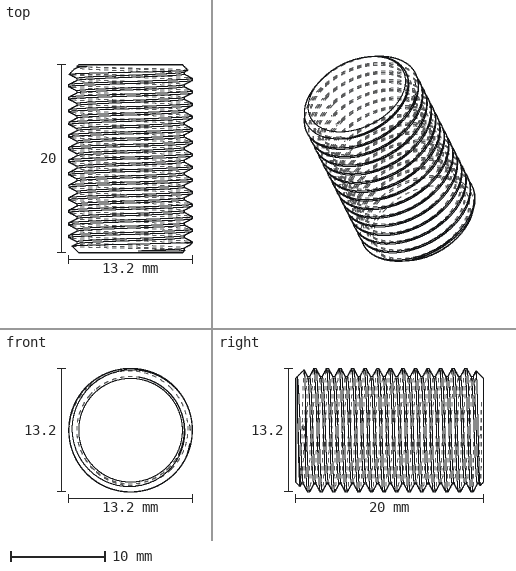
import cadquery as cq
import math

length = 20.0
major_radius = 6.58
root_radius = 5.72
end_radius = 5.52

inch = 25.4
threads_per_inch = 19
pitch = inch / threads_per_inch
flank_half_angle = math.radians(55.0 / 2)

first_crest = 1.05
cutter_overshoot = 0.08
stock_extra = 6.0

chamfer = major_radius - end_radius
flank_run = (major_radius - root_radius) * math.tan(flank_half_angle)
root_flat = (pitch - 2 * flank_run) / 2


def make_envelope():
    """Chamfered rod standing on the XY plane."""
    return cq.Workplane("XY").circle(major_radius).extrude(length).edges().chamfer(chamfer)


def make_stock():
    """Plain rod, longer than the groove at both ends so the whole groove is cut inside it."""
    return (
        cq.Workplane("XY")
        .workplane(offset=-stock_extra)
        .circle(major_radius)
        .extrude(length + 2 * stock_extra)
    )


def make_groove():
    """Helical trapezoid that runs out past both ends of the rod."""
    start = first_crest + pitch / 2 - 2 * pitch
    turns = math.ceil((length + pitch - start) / pitch)
    outer_radius = major_radius + cutter_overshoot
    half_root = root_flat / 2
    half_mouth = half_root + (outer_radius - root_radius) * math.tan(flank_half_angle)
    path = cq.Wire.makeHelix(pitch, turns * pitch, root_radius, center=cq.Vector(0, 0, start))
    profile = cq.Workplane("XZ").polyline([
        (root_radius, start - half_root),
        (outer_radius, start - half_mouth),
        (outer_radius, start + half_mouth),
        (root_radius, start + half_root),
    ]).close()
    return profile.sweep(cq.Workplane(obj=path), isFrenet=True)


threaded_stock = make_stock().cut(make_groove())
rod = threaded_stock.intersect(make_envelope())
result = cq.Workplane(obj=rod.val().Solids()[0]).rotate((0, 0, 0), (1, 0, 0), -90)